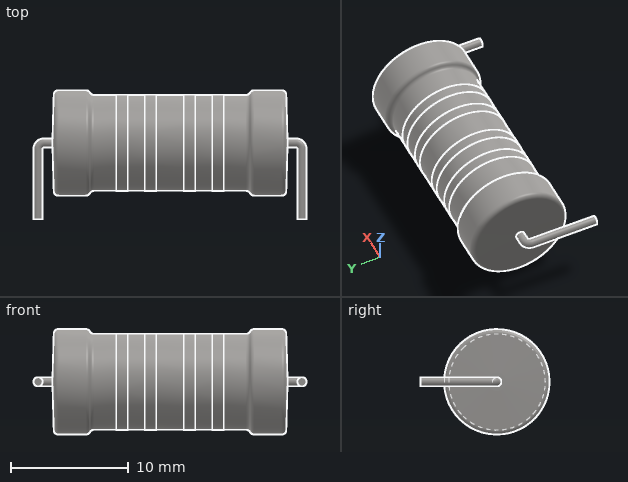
import cadquery as cq

overall_length = 23.25
lead_diameter = 0.8
lead_radius = lead_diameter / 2
lead_axis_x = overall_length / 2 - lead_radius
lead_bend_radius = 0.51
lead_tip_y = -6.51

cap_diameter = 9.0
cap_radius = cap_diameter / 2
barrel_diameter = 8.19
barrel_radius = barrel_diameter / 2
end_face_x = 10.0
end_disc_radius = 2 * lead_radius
cap_edge_x = 9.9
cap_rounding = cap_radius - barrel_radius
cap_inner_x = 7.16
shoulder_length = 0.7

band_diameter = 8.2
band_width = 0.98
inner_band_x = 1.65
outer_band_x = 4.1
band_centers = (-outer_band_x, -inner_band_x, inner_band_x, outer_band_x)


def half_body(side):
    """Revolve one half of the body about X; side is -1 or +1."""
    shoulder_end_x = cap_inner_x - shoulder_length
    shoulder_mid_x = cap_inner_x - shoulder_length / 2
    shoulder_mid_radius = (cap_radius + barrel_radius) / 2
    rounding_start_x = cap_edge_x - cap_rounding
    profile = (
        cq.Workplane("XY")
        .moveTo(0, 0)
        .lineTo(0, barrel_radius)
        .lineTo(side * shoulder_end_x, barrel_radius)
        .tangentArcPoint((side * shoulder_mid_x, shoulder_mid_radius), relative=False)
        .tangentArcPoint((side * cap_inner_x, cap_radius), relative=False)
        .lineTo(side * rounding_start_x, cap_radius)
        .tangentArcPoint((side * cap_edge_x, barrel_radius), relative=False)
        .lineTo(side * end_face_x, end_disc_radius)
        .lineTo(side * end_face_x, 0)
        .close()
    )
    return profile.revolve(360, (0, 0, 0), (1, 0, 0))


def make_body():
    """Join the mirrored halves and add the bands around the barrel."""
    body = half_body(-1).union(half_body(1))
    for center_x in band_centers:
        band = (
            cq.Workplane("YZ", origin=(center_x, 0, 0))
            .circle(band_diameter / 2)
            .extrude(band_width / 2, both=True)
        )
        body = body.union(band)
    return body


def make_lead(side):
    """Wire leaving the end face along X, then bending toward -Y."""
    path = (
        cq.Workplane("XY")
        .moveTo(side * end_face_x, 0)
        .lineTo(side * (lead_axis_x - lead_bend_radius), 0)
        .tangentArcPoint((side * lead_axis_x, -lead_bend_radius), relative=False)
        .lineTo(side * lead_axis_x, lead_tip_y)
    )
    section = cq.Workplane("YZ", origin=(side * end_face_x, 0, 0)).circle(lead_radius)
    return section.sweep(path)


body = make_body()
leads = [make_lead(side) for side in (-1, 1)]

result = cq.Compound.makeCompound([body.val(), *[lead.val() for lead in leads]])